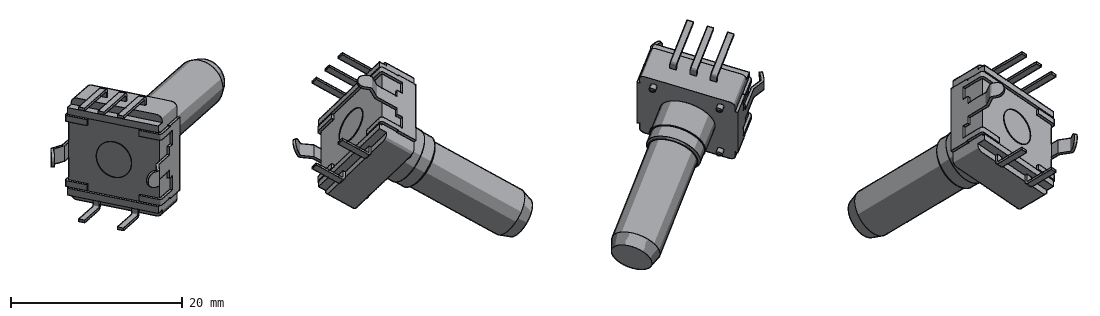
import cadquery as cq
import math


shaft_tip_y = 19.95
shaft_radius = 3.0
shaft_tip_radius = 2.5
shaft_taper_length = 1.5
collar_radius = 3.42
collar_length = 3.42
bushing_radius = 3.33
bushing_end_y = 5.22
bushing_chamfer = 0.23

peg_radius = 0.4
peg_length = 0.77
peg_chamfer = 0.15
peg_x = 4.13
peg_z = 5.1

body_half_width = 5.9
body_half_height = 6.55
body_depth = 4.02
body_corner_radius = 0.75
ridge_outer_z = 5.65
ridge_inner_z = 4.75
ridge_depth = 5.07
base_depth = 4.73
disc_radius = 2.28
disc_rise = 0.09

sheet = 0.35
cover_half_width = body_half_width + sheet
cover_half_height = 4.7
cover_notch = 0.1
cover_notch_depth = 2.56
window_depth = 1.97
window_outer_z = 3.82
window_step_z = 2.02
window_step_depth = 2.75
claw_inner_x = 3.35

overall_width = 14.0
tab_width = 2.0
tab_straight_depth = 5.75
tab_peak_x = overall_width / 2
tab_end_depth = 8.55
tab_angle = math.radians(30)
tab_root_radius = 0.37
tab_peak_radius = 0.55
tab_tip_radius = 0.49 * tab_width

pin_width = 0.8
pin_pitch = 2.5
pin_end_depth = 8.26
pin_bend_radius = 0.55
upper_pin_depth = 2.05
upper_pin_z = 7.67
lower_pin_depth = body_depth
lower_pin_z = -7.12


def box(x0, x1, y0, y1, z0, z1):
    """Axis-aligned box between two opposite corners."""
    return cq.Workplane("XY").box(x1 - x0, y1 - y0, z1 - z0, centered=False).translate((x0, y0, z0))


def make_shaft():
    """Collar, bushing and tapered shaft; a 45 degree shoulder joins collar and bushing."""
    profile = [
        (0, 0),
        (collar_radius, 0),
        (collar_radius, collar_length),
        (bushing_radius, collar_length + collar_radius - bushing_radius),
        (bushing_radius, bushing_end_y - bushing_chamfer),
        (bushing_radius - bushing_chamfer, bushing_end_y),
        (shaft_radius, bushing_end_y),
        (shaft_radius, shaft_tip_y - shaft_taper_length),
        (shaft_tip_radius, shaft_tip_y),
        (0, shaft_tip_y),
    ]
    return cq.Workplane("XY").polyline(profile).close().revolve(360, (0, 0, 0), (0, 1, 0))


def make_pegs():
    """Four chamfered pegs around the collar."""
    return (
        cq.Workplane("XZ")
        .rect(2 * peg_x, 2 * peg_z, forConstruction=True)
        .vertices()
        .circle(peg_radius)
        .extrude(-peg_length)
        .faces(">Y")
        .chamfer(peg_chamfer)
    )


def make_housing():
    """Rounded block with a base, two ridges and a low disc on its back."""
    block = box(-body_half_width, body_half_width, -body_depth, 0, -body_half_height, body_half_height)
    block = block.edges("|Y").fillet(body_corner_radius)
    ridges = box(-body_half_width, body_half_width, -ridge_depth, 0, -ridge_outer_z, ridge_outer_z)
    recess = box(
        -body_half_width, body_half_width, -ridge_depth, -base_depth, -ridge_inner_z, ridge_inner_z
    )
    disc = cq.Workplane("XZ").circle(disc_radius).extrude(base_depth + disc_rise)
    return block.union(ridges).cut(recess).union(disc)


def make_cover_side():
    """Cover wall on the +X side with its two claws folded over the base."""
    lower_half_height = cover_half_height - cover_notch
    x0 = body_half_width
    x1 = cover_half_width
    wall = box(x0, x1, -cover_notch_depth, 0, -cover_half_height, cover_half_height)
    arms = box(x0, x1, -ridge_depth, 0, -lower_half_height, lower_half_height)
    window = box(x0, x1, -ridge_depth, -window_depth, -window_outer_z, window_outer_z)
    step = box(x0, x1, -window_step_depth, -window_depth, -window_step_z, window_step_z)
    side = wall.union(arms).cut(window).union(step)
    for z0 in (window_outer_z, -lower_half_height):
        claw = box(claw_inner_x, x1, -ridge_depth, -base_depth, z0, z0 + lower_half_height - window_outer_z)
        side = side.union(claw)
    return side.edges("|Z and >X and <Y").fillet(sheet)


def make_tab():
    """Bent snap-in tab on the +X side with a rounded tip."""
    slope = math.tan(tab_angle)
    skew = sheet / math.cos(tab_angle)
    bend_y = -tab_straight_depth
    outer_bend_y = bend_y + sheet * math.tan(tab_angle / 2)
    peak_x = tab_peak_x + tab_peak_radius * (1 / math.cos(tab_angle) - 1)
    peak_y = outer_bend_y - (peak_x - cover_half_width) / slope
    end_x = peak_x - (peak_y + tab_end_depth) * slope
    tip_offset_x = sheet * math.cos(tab_angle)
    tip_offset_y = sheet * math.sin(tab_angle)
    strip = (
        cq.Workplane("XY")
        .moveTo(cover_half_width, -window_depth)
        .lineTo(cover_half_width, outer_bend_y)
        .lineTo(peak_x, peak_y)
        .lineTo(end_x, -tab_end_depth)
        .lineTo(end_x - tip_offset_x, -tab_end_depth + tip_offset_y)
        .lineTo(peak_x - skew, peak_y)
        .lineTo(body_half_width, bend_y)
        .lineTo(body_half_width, -window_depth)
        .close()
        .extrude(tab_width / 2, both=True)
    )
    bends = [
        (cover_half_width, outer_bend_y, tab_root_radius),
        (peak_x, peak_y, tab_peak_radius),
        (peak_x - skew, peak_y, tab_peak_radius - sheet),
    ]
    for x, y, radius in bends:
        strip = strip.edges(cq.selectors.NearestToPointSelector((x, y, 0))).fillet(radius)
    tip_zone = cq.selectors.BoxSelector(
        (body_half_width - sheet, -tab_end_depth - sheet, -tab_width),
        (cover_half_width + sheet, -tab_end_depth + sheet, tab_width),
    )
    return strip.edges(tip_zone).edges("#Z").edges("not(|X or |Y)").fillet(tab_tip_radius)


def make_pin(x, start_z, depth, end_z):
    """L-shaped terminal leaving the housing along Z and bending to -Y."""
    toward = math.copysign(1, end_z)
    inner_radius = pin_bend_radius - sheet
    diagonal = math.sqrt(0.5)
    bend_y = -depth - pin_bend_radius
    bend_z = end_z - toward * pin_bend_radius
    return (
        cq.Workplane("YZ", origin=(x - pin_width / 2, 0, 0))
        .moveTo(-depth, start_z)
        .lineTo(-depth, bend_z)
        .threePointArc(
            (bend_y + diagonal * pin_bend_radius, bend_z + toward * diagonal * pin_bend_radius),
            (bend_y, end_z),
        )
        .lineTo(-pin_end_depth, end_z)
        .lineTo(-pin_end_depth, end_z - toward * sheet)
        .lineTo(bend_y, end_z - toward * sheet)
        .threePointArc(
            (bend_y + diagonal * inner_radius, bend_z + toward * diagonal * inner_radius),
            (-depth - sheet, bend_z),
        )
        .lineTo(-depth - sheet, start_z)
        .close()
        .extrude(pin_width)
    )


result = make_housing().union(make_shaft()).union(make_pegs())

cover_side = make_cover_side().union(make_tab())
result = result.union(cover_side).union(cover_side.mirror("YZ"))

for x in (-pin_pitch, 0, pin_pitch):
    result = result.union(make_pin(x, ridge_outer_z, upper_pin_depth, upper_pin_z))
for x in (-pin_pitch, pin_pitch):
    result = result.union(make_pin(x, -ridge_inner_z, lower_pin_depth, lower_pin_z))